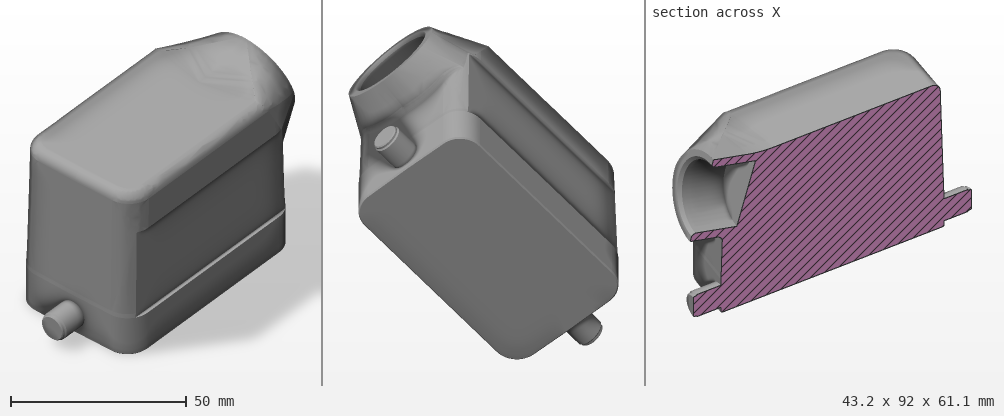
import math

import cadquery as cq

BASE_WIDTH = 43.16
BASE_LENGTH = 73.0
BASE_HEIGHT = 13.3
RIM_CHAMFER = 0.4
CORNER_RADIUS = 7.5
END_CROWN = 0.25

DRAFT_START_Z = 14.7
DRAFT_START_WIDTH = 42.9
DRAFT_START_LENGTH = 72.8
TOP_Z = 56.9
TOP_WIDTH = 42.0
TOP_LENGTH = 70.4
TOP_FILLET = 3.2

RECESS_TOP_Z = 43.4
RECESS_HALF_WIDTH_LOW = 20.4
RECESS_HALF_WIDTH_HIGH = 20.05

PIN_DIAMETER = 8.8
PIN_TIP_DIAMETER = 8.0
PIN_LENGTH = 8.95
PIN_TIP_LENGTH = 1.3
PIN_TIP_CHAMFER = 0.3
PIN_Z = 6.5

SPOUT_TILT = math.radians(15)
MOUTH_RADIUS = 14.8
MOUTH_HALF_WIDTH = 15.4
MOUTH_Y = 42.7
MOUTH_Z = 46.76
MOUTH_TOP_HALF_FLAT = 0.8
MOUTH_SIDE_FLAT = 0.6
BORE_DIAMETER = 23.5
BORE_DEPTH = 15.0
BORE_CHAMFER = 1.0

WAIST_Y = 35.0
WAIST_TILT = math.radians(24)
WAIST_HALF_WIDTH = 18.9
WAIST_SIDE_FLAT = 6.8
WAIST_TOP_HALF_FLAT = 11.2
WAIST_TOP_Z = 57.8

UPPER_ROOT_Y = 30.5
UPPER_ROOT_TILT = math.radians(29)
UPPER_ROOT_HALF_WIDTH = TOP_WIDTH / 2
LOWER_ROOT_Y = 31.6
LOWER_ROOT_HALF_WIDTH = RECESS_HALF_WIDTH_HIGH
LOWER_ROOT_SIDE = 8.0
LOWER_SPLIT_ANGLE = math.radians(30)
UNDERSIDE_FILLET = 2.0

ROOF_BLEND_RADIUS = 32.0
ROOF_SKEW = 3.6
ROOF_FOOT_Z = 53.0

CUT_CLEARANCE = 1.0


def rounded_outline(width, length):
    """Rounded rectangle whose two ends are crowned along X = 0."""
    half_width = width / 2
    end = length / 2
    shoulder = end - END_CROWN
    corners = [
        (-half_width, -shoulder),
        (0, -end),
        (half_width, -shoulder),
        (half_width, shoulder),
        (0, end),
        (-half_width, shoulder),
        (-half_width, -shoulder),
    ]
    return cq.Sketch().polygon(corners).vertices("<X or >X").fillet(CORNER_RADIUS)


def loft_outlines(bottom, bottom_z, top, top_z):
    raised_top = top.moved(cq.Location(cq.Vector(0, 0, top_z - bottom_z)))
    return cq.Workplane("XY", origin=(0, 0, bottom_z)).placeSketch(bottom, raised_top).loft(ruled=True)


def make_housing():
    base_outline = rounded_outline(BASE_WIDTH, BASE_LENGTH)
    draft_outline = rounded_outline(DRAFT_START_WIDTH, DRAFT_START_LENGTH)
    top_outline = rounded_outline(TOP_WIDTH, TOP_LENGTH)
    base = cq.Workplane("XY").placeSketch(base_outline).extrude(BASE_HEIGHT)
    base = base.faces("<Z").chamfer(RIM_CHAMFER)
    transition = loft_outlines(base_outline, BASE_HEIGHT, draft_outline, DRAFT_START_Z)
    upper = loft_outlines(draft_outline, DRAFT_START_Z, top_outline, TOP_Z)
    upper = upper.faces(">Z").edges().fillet(TOP_FILLET)
    return base.union(transition).union(upper)


def make_recess(side):
    """Cutter for the drafted side flat; side is +1 or -1 along X."""
    section = [
        (side * RECESS_HALF_WIDTH_LOW, BASE_HEIGHT),
        (side * RECESS_HALF_WIDTH_HIGH, RECESS_TOP_Z),
        (side * BASE_WIDTH, RECESS_TOP_Z),
        (side * BASE_WIDTH, BASE_HEIGHT),
    ]
    return cq.Workplane("XZ").polyline(section).close().extrude(BASE_LENGTH, both=True)


def make_pin(side):
    """Pin with a stepped tip; side is +1 or -1 along Y."""
    radius = PIN_DIAMETER / 2
    tip_radius = PIN_TIP_DIAMETER / 2
    root = BASE_LENGTH / 2 - 2 * END_CROWN
    end = BASE_LENGTH / 2 + PIN_LENGTH
    tip_start = end - PIN_TIP_LENGTH
    half_section = [
        (0, root),
        (radius, root),
        (radius, tip_start),
        (tip_radius, tip_start + radius - tip_radius),
        (tip_radius, end - PIN_TIP_CHAMFER),
        (tip_radius - PIN_TIP_CHAMFER, end),
        (0, end),
    ]
    points = [(x, side * y) for x, y in half_section]
    pin = cq.Workplane("XY").polyline(points).close().revolve(360, (0, 0), (0, 1))
    return pin.translate((0, 0, PIN_Z))


def tilted_plane(y, z, tilt):
    """Plane facing +Y and leaning back by tilt, with local +Y pointing up."""
    return cq.Plane((0, y, z), (-1, 0, 0), (0, math.cos(tilt), math.sin(tilt)))


def equator_z(y):
    """Height of the spout axis at a given Y."""
    return MOUTH_Z - (MOUTH_Y - y) * math.tan(SPOUT_TILT)


MOUTH_PLANE = tilted_plane(MOUTH_Y, MOUTH_Z, SPOUT_TILT)


def spout_clearance():
    """Cutter for the housing corner that the upper spout replaces."""
    root_z = equator_z(UPPER_ROOT_Y)
    clear_z = TOP_Z + CUT_CLEARANCE
    far_y = BASE_LENGTH
    section = [
        (UPPER_ROOT_Y, root_z),
        (UPPER_ROOT_Y - (clear_z - root_z) * math.tan(UPPER_ROOT_TILT), clear_z),
        (far_y, clear_z),
        (far_y, equator_z(far_y)),
    ]
    return cq.Workplane("YZ").polyline(section).close().extrude(BASE_WIDTH, both=True)


def upper_section(plane, half_width, side_flat, half_flat, top, arc_middle=None):
    """Flat-topped outline above the equator, with an arc from the top flat to each side."""
    if arc_middle is None:
        bulge = math.sqrt(0.5)
        arc_middle = (half_flat + (half_width - half_flat) * bulge, side_flat + (top - side_flat) * bulge)
    return (
        cq.Workplane(plane)
        .moveTo(-half_flat, top)
        .lineTo(half_flat, top)
        .threePointArc(arc_middle, (half_width, side_flat))
        .lineTo(half_width, 0)
        .lineTo(-half_width, 0)
        .lineTo(-half_width, side_flat)
        .threePointArc((-arc_middle[0], arc_middle[1]), (-half_flat, top))
        .wire()
        .val()
    )


def upper_spout():
    diagonal = MOUTH_RADIUS * math.sqrt(0.5)
    mouth = upper_section(
        MOUTH_PLANE,
        MOUTH_HALF_WIDTH,
        MOUTH_SIDE_FLAT,
        MOUTH_TOP_HALF_FLAT,
        MOUTH_RADIUS,
        (diagonal, diagonal),
    )
    waist_z = equator_z(WAIST_Y)
    waist = upper_section(
        tilted_plane(WAIST_Y, waist_z, WAIST_TILT),
        WAIST_HALF_WIDTH,
        WAIST_SIDE_FLAT,
        WAIST_TOP_HALF_FLAT,
        (WAIST_TOP_Z - waist_z) / math.cos(WAIST_TILT),
    )
    root_z = equator_z(UPPER_ROOT_Y)
    root_top = (TOP_Z - root_z) / math.cos(UPPER_ROOT_TILT)
    root = upper_section(
        tilted_plane(UPPER_ROOT_Y, root_z, UPPER_ROOT_TILT),
        UPPER_ROOT_HALF_WIDTH,
        root_top - TOP_FILLET,
        UPPER_ROOT_HALF_WIDTH - TOP_FILLET,
        root_top,
    )
    return cq.Workplane(cq.Solid.makeLoft([mouth, waist, root], False))


def lower_spout():
    def rim_point(angle):
        return (MOUTH_HALF_WIDTH * math.cos(angle), -MOUTH_RADIUS * math.sin(angle))

    split = rim_point(LOWER_SPLIT_ANGLE)
    side_middle = rim_point(LOWER_SPLIT_ANGLE / 2)
    under_middle = rim_point((LOWER_SPLIT_ANGLE + math.pi / 2) / 2)
    mouth = (
        cq.Workplane(MOUTH_PLANE)
        .moveTo(-MOUTH_HALF_WIDTH, 0)
        .lineTo(MOUTH_HALF_WIDTH, 0)
        .threePointArc(side_middle, split)
        .threePointArc(under_middle, (0, -MOUTH_RADIUS))
        .threePointArc((-under_middle[0], under_middle[1]), (-split[0], split[1]))
        .threePointArc((-side_middle[0], side_middle[1]), (-MOUTH_HALF_WIDTH, 0))
        .wire()
    )
    side = LOWER_ROOT_HALF_WIDTH
    depth = MOUTH_RADIUS / math.cos(SPOUT_TILT)
    curve_drop = depth - LOWER_ROOT_SIDE
    curve_middle = (side * math.sqrt(0.5), -LOWER_ROOT_SIDE - curve_drop * math.sqrt(0.5))
    root = (
        cq.Workplane(tilted_plane(LOWER_ROOT_Y, equator_z(LOWER_ROOT_Y), 0))
        .moveTo(-side, 0)
        .lineTo(side, 0)
        .lineTo(side, -LOWER_ROOT_SIDE)
        .threePointArc(curve_middle, (0, -depth))
        .threePointArc((-curve_middle[0], curve_middle[1]), (-side, -LOWER_ROOT_SIDE))
        .lineTo(-side, 0)
        .wire()
    )
    return cq.Workplane(cq.Solid.makeLoft([mouth.val(), root.val()], True))


def fillet_underside(body):
    """Round the inner corner where the spout's underside meets the end wall."""
    wall_y = BASE_LENGTH / 2
    reach = MOUTH_RADIUS / math.cos(SPOUT_TILT)
    bottom_z = equator_z(wall_y) - reach
    wall_depth = 2.0
    edge_rise = 5.0
    corner_box = cq.selectors.BoxSelector(
        (-BASE_WIDTH, wall_y - wall_depth, bottom_z - CUT_CLEARANCE),
        (BASE_WIDTH, wall_y + CUT_CLEARANCE, bottom_z + edge_rise),
    )
    return body.edges(corner_box).fillet(UNDERSIDE_FILLET)


APEX_Y = MOUTH_Y - MOUTH_RADIUS * math.sin(SPOUT_TILT)
APEX_Z = MOUTH_Z + MOUTH_RADIUS * math.cos(SPOUT_TILT)
RIDGE_END_Y = APEX_Y - (APEX_Z - TOP_Z) / math.tan(SPOUT_TILT)
BLEND_END_Y = RIDGE_END_Y - ROOF_BLEND_RADIUS * math.tan(SPOUT_TILT / 2)
ROOF_HALF_WIDTH = UPPER_ROOT_HALF_WIDTH - TOP_FILLET


def roof_column(side):
    """Upright block over one half of the roof; side is +1 or -1 along X."""
    plan = [
        (0, APEX_Y),
        (side * MOUTH_TOP_HALF_FLAT, APEX_Y),
        (side * ROOF_HALF_WIDTH, BLEND_END_Y + ROOF_SKEW),
        (0, BLEND_END_Y),
    ]
    height = APEX_Z - ROOF_FOOT_Z + CUT_CLEARANCE
    return cq.Workplane("XY", origin=(0, 0, ROOF_FOOT_Z)).polyline(plan).close().extrude(height)


def roof_half(side):
    """Half roof: the slope runs into the flat top through a hollow arc, skewed away from the ridge."""
    blend_y = BLEND_END_Y + ROOF_BLEND_RADIUS * math.sin(SPOUT_TILT)
    blend_z = TOP_Z + ROOF_BLEND_RADIUS * (1 - math.cos(SPOUT_TILT))
    middle_y = BLEND_END_Y + ROOF_BLEND_RADIUS * math.sin(SPOUT_TILT / 2)
    middle_z = TOP_Z + ROOF_BLEND_RADIUS * (1 - math.cos(SPOUT_TILT / 2))
    start_y = BLEND_END_Y - ROOF_SKEW
    profile = (
        cq.Workplane("YZ")
        .moveTo(start_y, ROOF_FOOT_Z)
        .lineTo(start_y, TOP_Z)
        .lineTo(BLEND_END_Y, TOP_Z)
        .threePointArc((middle_y, middle_z), (blend_y, blend_z))
        .lineTo(APEX_Y, APEX_Z)
        .lineTo(APEX_Y, ROOF_FOOT_Z)
        .close()
        .wire()
        .val()
    )
    skew = cq.Vector(side * ROOF_HALF_WIDTH, ROOF_SKEW, 0)
    slope = cq.Solid.extrudeLinear(profile, [], skew)
    return cq.Workplane(slope).intersect(roof_column(side))


def make_bore():
    radius = BORE_DIAMETER / 2
    half_section = [
        (0, 0),
        (radius + BORE_CHAMFER, 0),
        (radius, -BORE_CHAMFER),
        (radius, -BORE_DEPTH),
        (0, -BORE_DEPTH),
    ]
    into_spout = (0, -math.sin(SPOUT_TILT), math.cos(SPOUT_TILT))
    axis_plane = cq.Plane((0, MOUTH_Y, MOUTH_Z), (1, 0, 0), into_spout)
    return cq.Workplane(axis_plane).polyline(half_section).close().revolve(360, (0, 0), (0, 1))


body = make_housing()
for side in (-1, 1):
    body = body.cut(make_recess(side))
body = body.cut(spout_clearance()).union(upper_spout()).union(lower_spout())
body = fillet_underside(body)
for side in (-1, 1):
    body = body.cut(roof_column(side)).union(roof_half(side))
for side in (-1, 1):
    body = body.union(make_pin(side))
result = body.cut(make_bore())